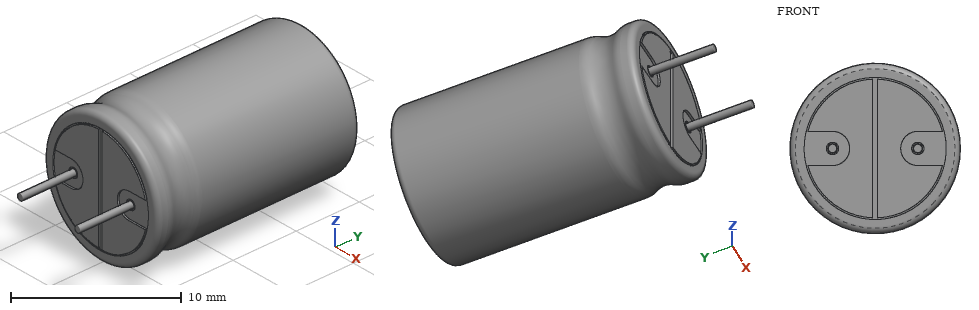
import cadquery as cq
import math


can_diameter = 10.0
can_length = 16.0
can_edge_radius = 0.4
can_radius = can_diameter / 2

groove_center = 2.2
groove_depth = 0.32
groove_half_width = 1.35
hollow_half_width = 0.76

seal_diameter = 8.35
seal_recess = 0.1
pad_diameter = 8.15
pad_height = 0.05
vent_slot_width = 0.3
lead_slot_width = 2.0

lead_diameter = 0.5
lead_pitch = 5.0
overall_length = 20.1
lead_tip_y = can_length - overall_length
lead_root_depth = 0.4
lead_tip_radius = 0.02

pit_diameter = 0.72
pit_depth = 0.02
lead_hole_diameter = 0.56
lead_hole_depth = 0.05

lead_positions = (-lead_pitch / 2, lead_pitch / 2)


def disc(diameter, y_start, y_end, x=0.0):
    """Cylinder along Y between two Y positions, centred on Z = 0."""
    direction = cq.Vector(0, 1, 0)
    return cq.Workplane(
        cq.Solid.makeCylinder(diameter / 2, y_end - y_start, cq.Vector(x, y_start, 0), direction)
    )


def make_can():
    """Solid of revolution with rounded ends and the rolled groove."""
    slope = 2 * math.atan(groove_depth / groove_half_width)
    shoulder_radius = (groove_half_width - hollow_half_width) / math.sin(slope)

    def shoulder_point(side, angle):
        """Point on the shoulder arc, measured from its tangent with the can wall."""
        x = can_radius - shoulder_radius * (1 - math.cos(angle))
        y = groove_center + side * (groove_half_width - shoulder_radius * math.sin(angle))
        return x, y

    hollow_bottom = (can_radius - groove_depth, groove_center)
    profile = (
        cq.Workplane("XY")
        .lineTo(can_radius - can_edge_radius, 0)
        .radiusArc((can_radius, can_edge_radius), -can_edge_radius)
        .lineTo(*shoulder_point(-1, 0))
        .threePointArc(shoulder_point(-1, slope / 2), shoulder_point(-1, slope))
        .threePointArc(hollow_bottom, shoulder_point(1, slope))
        .threePointArc(shoulder_point(1, slope / 2), shoulder_point(1, 0))
        .lineTo(can_radius, can_length - can_edge_radius)
        .radiusArc((can_radius - can_edge_radius, can_length), -can_edge_radius)
        .lineTo(0, can_length)
        .close()
    )
    return profile.revolve(360, (0, 0, 0), (0, 1, 0))


def make_pads():
    """Two raised pads, parted by the vent slot and notched around the leads."""
    thickness = seal_recess + pad_height
    pads = disc(pad_diameter, -pad_height, seal_recess)
    pads = pads.cut(cq.Workplane("XY").box(vent_slot_width, 2 * thickness, can_diameter))
    for x in lead_positions:
        outward = math.copysign(can_radius, x)
        slot_end = disc(lead_slot_width, -thickness, thickness, x)
        slot = cq.Workplane("XY").box(can_radius, 2 * thickness, lead_slot_width)
        pads = pads.cut(slot_end).cut(slot.translate((x + outward / 2, 0, 0)))
    return pads


def make_pit(x):
    """Shallow pit with a narrower clearance hole around the lead."""
    pit = disc(pit_diameter, seal_recess, seal_recess + pit_depth, x)
    return pit.union(disc(lead_hole_diameter, seal_recess, seal_recess + lead_hole_depth, x))


def make_lead(x):
    """Round wire, rooted in the seal, with a slightly rounded tip."""
    lead = disc(lead_diameter, lead_tip_y, seal_recess + lead_root_depth, x)
    return lead.faces("<Y").fillet(lead_tip_radius)


result = make_can().cut(disc(seal_diameter, 0, seal_recess)).union(make_pads())
for lead_x in lead_positions:
    result = result.cut(make_pit(lead_x)).union(make_lead(lead_x))